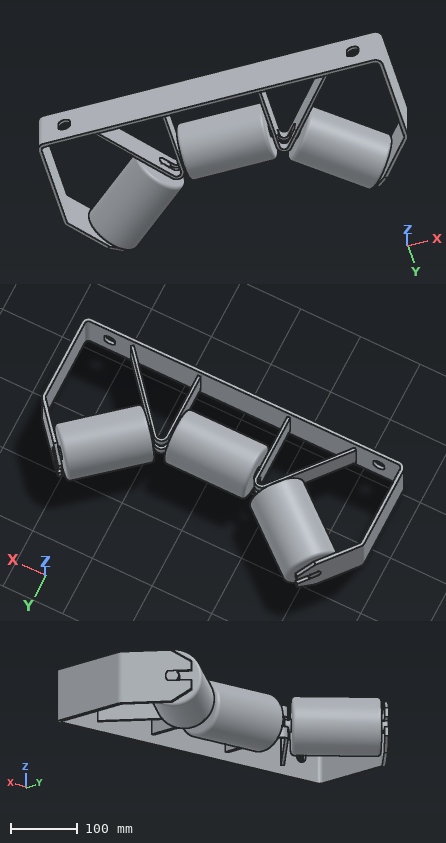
import cadquery as cq
import math

FRAME_LENGTH = 540.0
FRAME_THICKNESS = 6.0
FRAME_HEIGHT = 80.0
BEND_RADIUS = 12.0
WING_LENGTH = 104.0
WING_CHAMFER_LENGTH = 30.0
WING_CHAMFER_HEIGHT = 18.5
MOUNT_SLOT_SPACING = 451.5
MOUNT_SLOT_WIDTH = 18.5
MOUNT_SLOT_HEIGHT = 26.0

BRACKET_THICKNESS = 5.0
BRACKET_HEIGHT = 50.0
BRACKET_BEND_START = 115.0
SLOPED_LEG_END = 7.0

TILT = 40.0
DRUM_RADIUS = 44.55
DRUM_LENGTH = 135.0
DRUM_FILLET = 5.5
SHAFT_DIAMETER = 20.0
SHAFT_ACROSS_FLATS = 15.0
ROLLER_GAP = 5.0
SLOT_DEPTH = 16.0
ROUND_NECK = 3.0
CENTRE_ROLLER_Y = 99.0
SIDE_ROLLER_RISE = 18.5

HALF_SPAN = DRUM_LENGTH / 2 + ROLLER_GAP

X_AXIS = cq.Vector(1, 0)
Y_AXIS = cq.Vector(0, 1)
centre_roller_centre = Y_AXIS * CENTRE_ROLLER_Y

COS_TILT = math.cos(math.radians(TILT))
SIN_TILT = math.sin(math.radians(TILT))
AXIS = cq.Vector(-COS_TILT, SIN_TILT)
RISE = cq.Vector(SIN_TILT, COS_TILT)

bracket_mid_radius = BEND_RADIUS - BRACKET_THICKNESS / 2
bracket_x = -(HALF_SPAN + BRACKET_THICKNESS / 2)
bracket_turn = 180 - TILT
apex_rise = bracket_mid_radius * math.tan(math.radians(bracket_turn / 2))
bracket_foot = cq.Vector(bracket_x, FRAME_THICKNESS)
bracket_apex = cq.Vector(bracket_x, BRACKET_BEND_START + apex_rise)
sloped_leg_length = (bracket_apex.y - SLOPED_LEG_END) / COS_TILT
bracket_toe = bracket_apex - RISE * sloped_leg_length

side_roller_reach = bracket_apex.dot(AXIS) + BRACKET_THICKNESS / 2 + HALF_SPAN
side_roller_centre = AXIS * side_roller_reach + RISE * SIDE_ROLLER_RISE

wing_reach = side_roller_reach + HALF_SPAN + FRAME_THICKNESS / 2
side_x = -(FRAME_LENGTH - FRAME_THICKNESS) / 2
base_corner = cq.Vector(side_x, FRAME_THICKNESS / 2)
wing_corner = cq.Vector(side_x, (wing_reach + side_x * COS_TILT) / SIN_TILT)
wing_bend_length = (BEND_RADIUS - FRAME_THICKNESS / 2) * math.tan(math.radians(TILT / 2))
wing_tip = wing_corner + RISE * (wing_bend_length + WING_LENGTH)


def mirrored(point):
    return cq.Vector(-point.x, point.y)


def bent_strip(corners, thickness, height):
    """Strip of constant thickness along the corners, with a round bend at each inner corner."""
    radius = BEND_RADIUS - thickness / 2
    path = cq.Workplane("XY").moveTo(corners[0].x, corners[0].y)
    for before, corner, after in zip(corners, corners[1:], corners[2:]):
        arriving = (corner - before).normalized()
        leaving = (after - corner).normalized()
        setback = radius * math.tan(arriving.getAngle(leaving) / 2)
        bend_start = corner - arriving * setback
        bend_end = corner + leaving * setback
        path = path.lineTo(bend_start.x, bend_start.y)
        path = path.tangentArcPoint((bend_end.x, bend_end.y), relative=False)
    path = path.lineTo(corners[-1].x, corners[-1].y)
    start_plane = cq.Plane(corners[0], xDir=(0, 0, 1), normal=corners[1] - corners[0])
    return cq.Workplane(start_plane).rect(height, thickness).sweep(path)


def cross_section(centre, axis, length):
    """Workplane at the back end of a centred length of the axis; its x direction is Z."""
    return cq.Workplane(cq.Plane(centre - axis * (length / 2), xDir=(0, 0, 1), normal=axis))


def rod(centre, axis, radius, length):
    return cross_section(centre, axis, length).circle(radius).extrude(length)


def flat_sided_shaft(centre, axis, length):
    """Centred length of shaft with two flats facing +Z and -Z."""
    flats = cross_section(centre, axis, length).rect(SHAFT_ACROSS_FLATS, SHAFT_DIAMETER).extrude(length)
    return rod(centre, axis, SHAFT_DIAMETER / 2, length).intersect(flats)


def roller(centre, axis, back_plate, front_plate):
    """Drum on a flat-sided shaft that ends flush with the far faces of the two plates carrying it."""
    drum = rod(centre, axis, DRUM_RADIUS, DRUM_LENGTH)
    drum = drum.faces(cq.selectors.ParallelDirSelector(axis)).edges().fillet(DRUM_FILLET)
    neck = rod(centre, axis, SHAFT_DIAMETER / 2, DRUM_LENGTH + 2 * ROUND_NECK)
    shaft_centre = centre + axis * ((front_plate - back_plate) / 2)
    shaft = flat_sided_shaft(shaft_centre, axis, 2 * HALF_SPAN + back_plate + front_plate)
    return drum.union(neck).union(shaft)


def shaft_slot(centre, axis, opening, length):
    """Cutter for a shaft's seats in both of its plates, each running on in the opening direction."""
    through = 2 * (HALF_SPAN + SLOT_DEPTH)
    seat = flat_sided_shaft(centre, axis, through)
    middle = centre + opening * (length / 2)
    channel = cross_section(middle, axis, through).rect(SHAFT_ACROSS_FLATS, length).extrude(through)
    return seat.union(channel)


def make_outer_strip():
    """Outer frame with chamfered, slotted wings and two mounting slots in the base."""
    corners = [wing_tip, wing_corner, base_corner]
    corners += [mirrored(corner) for corner in reversed(corners)]
    strip = bent_strip(corners, FRAME_THICKNESS, FRAME_HEIGHT)

    chamfers = cq.Workplane(cq.Plane(wing_tip, xDir=RISE, normal=AXIS))
    for side in (1, -1):
        edge = side * FRAME_HEIGHT / 2
        chamfers = chamfers.polyline(
            [(0, edge), (-WING_CHAMFER_LENGTH, edge), (0, edge - side * WING_CHAMFER_HEIGHT)]
        ).close()
    wing_cut = chamfers.extrude(FRAME_THICKNESS, both=True)
    tip_distance = wing_tip.dot(RISE) - SIDE_ROLLER_RISE
    wing_cut = wing_cut.union(shaft_slot(side_roller_centre, AXIS, RISE, tip_distance))
    strip = strip.cut(wing_cut).cut(wing_cut.mirror("YZ"))

    mount_slots = (
        cq.Workplane("XZ")
        .pushPoints([(-MOUNT_SLOT_SPACING / 2, 0), (MOUNT_SLOT_SPACING / 2, 0)])
        .slot2D(MOUNT_SLOT_HEIGHT, MOUNT_SLOT_WIDTH, 90)
        .extrude(-FRAME_THICKNESS)
    )
    return strip.cut(mount_slots)


def make_bracket():
    """Left bracket: upright leg and sloped leg, with the slots of both meeting over the bend."""
    bracket = bent_strip([bracket_foot, bracket_apex, bracket_toe], BRACKET_THICKNESS, BRACKET_HEIGHT)
    upright_slot = shaft_slot(centre_roller_centre, X_AXIS, Y_AXIS, bracket_apex.y - CENTRE_ROLLER_Y)
    sloped_slot = shaft_slot(side_roller_centre, AXIS, RISE, bracket_apex.dot(RISE) - SIDE_ROLLER_RISE)
    return bracket.cut(upright_slot).cut(sloped_slot)


def make_frame():
    """Outer frame with both brackets and the centre roller fixed between them, all one solid."""
    left_bracket = make_bracket()
    centre_roller = roller(centre_roller_centre, X_AXIS, BRACKET_THICKNESS, BRACKET_THICKNESS)
    frame = make_outer_strip().union(left_bracket).union(left_bracket.mirror("YZ"))
    return frame.union(centre_roller, clean=False)


def make_side_roller(side):
    """Loose roller between a bracket's sloped leg and a wing: side is -1 for left, 1 for right."""
    left_roller = roller(side_roller_centre, AXIS, BRACKET_THICKNESS, FRAME_THICKNESS)
    return left_roller if side < 0 else left_roller.mirror("YZ")


frame = make_frame()
side_rollers = [make_side_roller(side) for side in (-1, 1)]

result = cq.Compound.makeCompound([frame.val(), *[side_roller.val() for side_roller in side_rollers]])